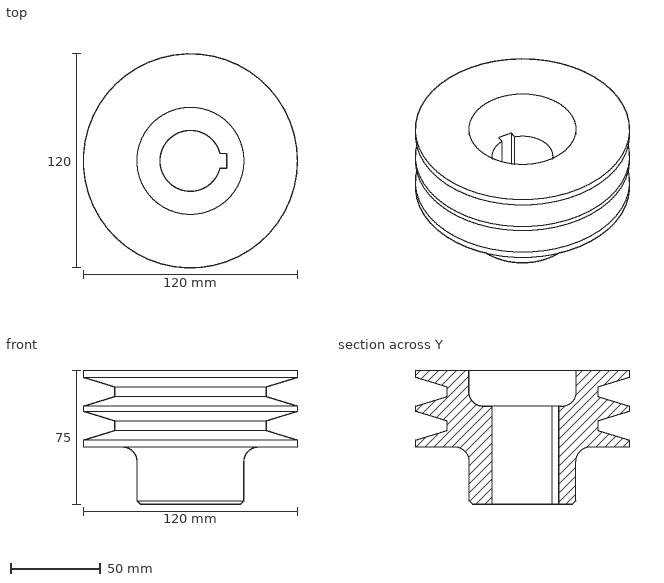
import cadquery as cq
import math


rim_radius = 60.0
end_flange_thickness = 4.0
middle_flange_thickness = 3.0
groove_count = 2
groove_width = 16.0
groove_depth = 17.5
groove_angle = 34.0

total_height = 75.0
hub_radius = 30.0
hub_chamfer = 2.0
hub_fillet = 8.0

recess_radius = 30.0
recess_depth = 20.0
recess_fillet = 8.0

bore_radius = 17.0
keyway_width = 8.0
keyway_reach = 20.3

groove_pitch = groove_width + middle_flange_thickness
rim_height = 2 * end_flange_thickness + groove_count * groove_pitch - middle_flange_thickness
rim_bottom = total_height - rim_height
groove_root_radius = rim_radius - groove_depth
flank_rise = groove_depth * math.tan(math.radians(groove_angle / 2))


def make_rim():
    """Plain disc that carries the belt grooves."""
    return cq.Workplane("XY").workplane(offset=rim_bottom).circle(rim_radius).extrude(rim_height)


def make_hub():
    """Hub below the rim, chamfered at its free end and flared into the rim."""
    fillet_centre_radius = hub_radius + hub_fillet
    fillet_centre_z = rim_bottom - hub_fillet
    arc_offset = hub_fillet * math.cos(math.radians(45))
    profile = (
        cq.Workplane("XZ")
        .moveTo(0, 0)
        .lineTo(hub_radius - hub_chamfer, 0)
        .lineTo(hub_radius, hub_chamfer)
        .lineTo(hub_radius, fillet_centre_z)
        .threePointArc(
            (fillet_centre_radius - arc_offset, fillet_centre_z + arc_offset),
            (fillet_centre_radius, rim_bottom),
        )
        .lineTo(0, rim_bottom)
        .close()
    )
    return profile.revolve(360, (0, 0, 0), (0, 1, 0))


def make_groove(bottom_z):
    """Ring that cuts one V groove whose mouth starts at bottom_z."""
    top_z = bottom_z + groove_width
    profile = (
        cq.Workplane("XZ")
        .moveTo(rim_radius, bottom_z)
        .lineTo(rim_radius, top_z)
        .lineTo(groove_root_radius, top_z - flank_rise)
        .lineTo(groove_root_radius, bottom_z + flank_rise)
        .close()
    )
    return profile.revolve(360, (0, 0, 0), (0, 1, 0))


def make_recess():
    """Round pocket in the top face with a rounded floor edge."""
    return (
        cq.Workplane("XY")
        .workplane(offset=total_height - recess_depth)
        .circle(recess_radius)
        .extrude(recess_depth)
        .faces("<Z")
        .edges()
        .fillet(recess_fillet)
    )


def make_keyed_bore():
    """Through bore with a keyway on the +X side."""
    bore = cq.Workplane("XY").circle(bore_radius).extrude(total_height)
    keyway = cq.Workplane("XY").box(
        keyway_reach, keyway_width, total_height, centered=(False, True, False)
    )
    return bore.union(keyway)


result = make_rim().union(make_hub())
for groove_index in range(groove_count):
    groove_bottom = rim_bottom + end_flange_thickness + groove_index * groove_pitch
    result = result.cut(make_groove(groove_bottom))
result = result.cut(make_recess()).cut(make_keyed_bore())